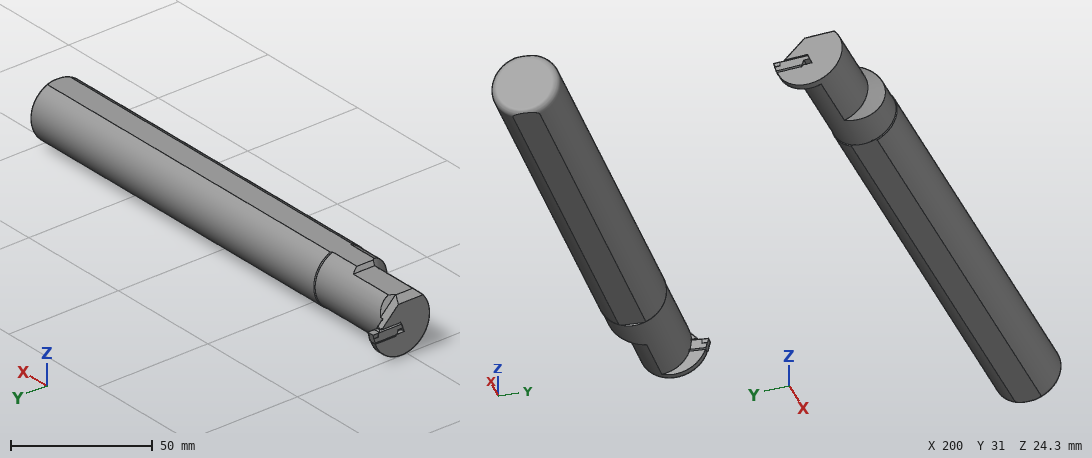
import cadquery as cq
import math


total_length = 200.0
shank_radius = 12.5
neck_radius = 12.25
holder_front = 0.25
neck_end = 40.0
neck_cone_length = 0.5
flat_height = 11.5
rear_fillet = 2.5

head_radius = 12.75
head_offset = 5.25
head_length = 25.0
head_flat_drop = 1.5
head_flat_height = flat_height - head_flat_drop
nose_bevel_length = 3.75
nose_bevel_drop = 1.75
clear = 2 * shank_radius

clearance_angle = 45.0
clearance_sum = 15.0
clearance_length = 4.0

insert_width = 3.0
blade_thickness = insert_width - 2 * holder_front
tip_y = 18.5
insert_front_foot_y = 17.4
chip_ramp_y = 15.5
insert_top = 0.6
insert_bottom = -4.2
insert_rear_top_y = 5.7
rear_lean = 0.4
insert_step_top_y = 7.0
insert_step_bottom_y = 8.0
insert_step_z = -1.75
edge_bevel_height = 0.6
edge_bevel_width = 1.0

relief_inner_y = 16.1
relief_bottom = -1.6
relief_depth = 0.2

pocket_floor = insert_bottom + edge_bevel_height
pocket_floor_rise = 1.0


def rear_y(z):
    """Y of the leaning rear face of the insert seat at height z."""
    return insert_rear_top_y - rear_lean * (insert_top - z)


def yz_prism(points):
    """Extrude a (Y, Z) outline along +X over the width of the insert."""
    return cq.Workplane("YZ").polyline(points).close().extrude(insert_width)


def xz_prism(points):
    """Extrude an (X, Z) outline across the full width of the bar, both ways from Y = 0."""
    return cq.Workplane("XZ").polyline(points).close().extrude(clear, both=True)


def bar_blank():
    """Round neck and shank, turned about X, with a rounded rear end."""
    return (
        cq.Workplane("XY")
        .moveTo(holder_front, 0)
        .lineTo(holder_front, neck_radius)
        .lineTo(neck_end, neck_radius)
        .lineTo(neck_end + neck_cone_length, shank_radius)
        .lineTo(total_length - rear_fillet, shank_radius)
        .radiusArc((total_length, shank_radius - rear_fillet), rear_fillet)
        .lineTo(total_length, 0)
        .close()
        .revolve(360, (0, 0, 0), (1, 0, 0))
    )


def shank_flats():
    """Material removed by the full-length top flat and by the bottom flat of the shank."""
    top = xz_prism(
        [(0, flat_height), (total_length, flat_height), (total_length, clear), (0, clear)]
    )
    bottom = xz_prism(
        [
            (neck_end, -flat_height),
            (total_length, -flat_height),
            (total_length, -clear),
            (neck_end, -clear),
        ]
    )
    return top.union(bottom)


def head_envelope():
    """Offset cylinder, opening at 45 degrees behind the head until it clears the bar."""
    return (
        cq.Workplane("XY")
        .moveTo(0, head_offset)
        .lineTo(0, head_offset + head_radius)
        .lineTo(head_length, head_offset + head_radius)
        .lineTo(head_length + clear, head_offset + head_radius + clear)
        .lineTo(total_length, head_offset + head_radius + clear)
        .lineTo(total_length, head_offset)
        .close()
        .revolve(360, (0, head_offset, 0), (1, head_offset, 0))
    )


def blade():
    """Thin disc that carries the insert out beyond the round bar."""
    return (
        cq.Workplane("YZ")
        .workplane(offset=holder_front)
        .center(head_offset, 0)
        .circle(head_radius)
        .extrude(blade_thickness)
    )


def head_top_cut():
    """Lowered flat on the head, with a front bevel and a 45 degree ramp up to the top flat."""
    ramp_height = clear - head_flat_height
    return xz_prism(
        [
            (holder_front, head_flat_height - nose_bevel_drop),
            (nose_bevel_length, head_flat_height),
            (head_length, head_flat_height),
            (head_length + ramp_height, clear),
            (holder_front, clear),
        ]
    )


def chip_clearance():
    """Sloped facet above the insert, ending in an inclined back wall."""
    floor = clearance_sum / math.sqrt(2)
    wall = clear - floor
    return xz_prism(
        [
            (0, floor),
            (clearance_length, floor),
            (clearance_length + wall, clear),
            (0, clear),
        ]
    ).rotate((0, 0, 0), (1, 0, 0), -clearance_angle)


def insert_seat():
    """Slot for the insert, open at the front face and towards +Y."""
    return yz_prism(
        [
            (rear_y(insert_top), insert_top),
            (clear, insert_top),
            (clear, insert_bottom),
            (insert_step_bottom_y, insert_bottom),
            (insert_step_top_y, insert_step_z),
            (rear_y(insert_step_z), insert_step_z),
        ]
    )


def release_pocket():
    """Pocket behind the insert foot, with an inclined inner face."""
    outline = yz_prism(
        [
            (rear_y(insert_step_z), insert_step_z),
            (insert_step_top_y, insert_step_z),
            (insert_step_bottom_y, pocket_floor),
            (rear_y(pocket_floor), pocket_floor),
        ]
    )
    inclined_section = xz_prism(
        [
            (0, insert_step_z),
            (insert_width, insert_step_z),
            (insert_width - pocket_floor_rise, pocket_floor),
            (0, pocket_floor),
        ]
    )
    return outline.intersect(inclined_section)


def make_holder():
    return (
        bar_blank()
        .intersect(head_envelope())
        .union(blade())
        .cut(shank_flats())
        .cut(head_top_cut())
        .cut(chip_clearance())
        .cut(insert_seat())
        .cut(release_pocket())
    )


def insert_section():
    """Section of the insert across its width, with its four long edges bevelled."""
    inner_low = edge_bevel_width
    inner_high = insert_width - edge_bevel_width
    side_top = insert_top - edge_bevel_height
    side_bottom = insert_bottom + edge_bevel_height
    return xz_prism(
        [
            (0, side_bottom),
            (inner_low, insert_bottom),
            (inner_high, insert_bottom),
            (insert_width, side_bottom),
            (insert_width, side_top),
            (inner_high, insert_top),
            (inner_low, insert_top),
            (0, side_top),
        ]
    )


def side_reliefs():
    """Wedges that narrow both sides of the tip below the cutting edge."""
    reliefs = cq.Workplane("XY")
    for side, inward in ((0, 1), (insert_width, -1)):
        wedge = (
            cq.Workplane("XZ")
            .workplane(offset=-tip_y)
            .moveTo(side, 0)
            .lineTo(side + inward * relief_depth, relief_bottom)
            .lineTo(side, relief_bottom)
            .close()
            .extrude(tip_y - relief_inner_y)
        )
        reliefs = reliefs.add(wedge)
    return reliefs.combine()


def make_insert():
    """Insert with a stepped rear end, a chip ramp and a relieved cutting tip."""
    outline = yz_prism(
        [
            (tip_y, 0),
            (chip_ramp_y, 0),
            (chip_ramp_y - insert_top, insert_top),
            (rear_y(insert_top), insert_top),
            (rear_y(insert_step_z), insert_step_z),
            (insert_step_top_y, insert_step_z),
            (insert_step_bottom_y, insert_bottom),
            (insert_front_foot_y, insert_bottom),
        ]
    )
    return outline.intersect(insert_section()).cut(side_reliefs())


holder = make_holder()
cutting_insert = make_insert()

result = cq.Compound.makeCompound([holder.val(), cutting_insert.val()])